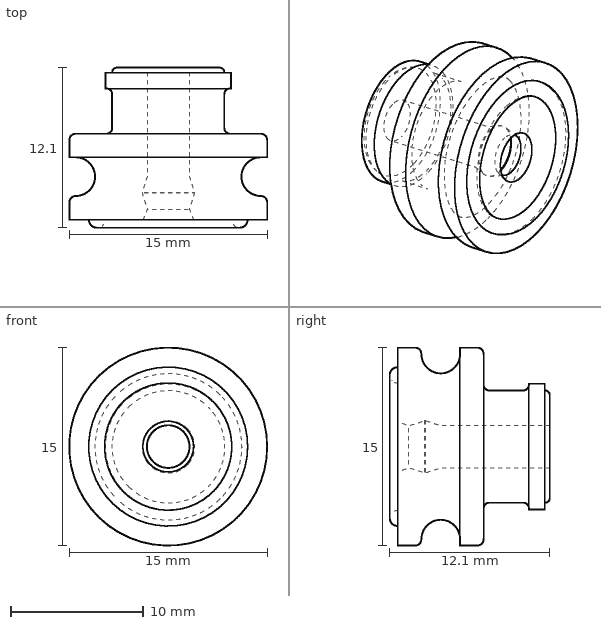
import cadquery as cq

bead_radius = 0.6
front_flange_back = 2.4
groove_radius = 1.45
rear_flange_back = 7.1
collar_front = 10.5
collar_back = 11.7
total_length = 12.1

flange_radius = 7.48
collar_radius = 4.75
neck_radius = 4.25
bead_centre_radius = 5.4
flange_rounding = 0.5
neck_rounding = 0.4

bore_radius = 1.6
mouth_radius = 1.91
chamber_radius = 1.97
mouth_taper_length = 0.8
chamber_taper_length = 1.17
land_length = 0.06

flange_front = bead_radius
rear_flange_front = front_flange_back + 2 * groove_radius
groove_centre_y = front_flange_back + groove_radius
groove_edge_radius = flange_radius - flange_rounding
tip_rounding = total_length - collar_back


def revolve_about_y(profile):
    """Turn a closed (radius, y) profile once around the Y axis."""
    return profile.close().revolve(360, (0, 0, 0), (0, 1, 0))


def make_body():
    """Grooved flange pair, neck, collar and rounded tip, without the bore."""
    profile = (
        cq.Workplane("XY")
        .moveTo(0, flange_front)
        .lineTo(flange_radius, flange_front)
        .lineTo(flange_radius, front_flange_back - flange_rounding)
        .radiusArc((groove_edge_radius, front_flange_back), -flange_rounding)
        .threePointArc(
            (groove_edge_radius - groove_radius, groove_centre_y),
            (groove_edge_radius, rear_flange_front),
        )
        .lineTo(flange_radius, rear_flange_front)
        .lineTo(flange_radius, rear_flange_back - flange_rounding)
        .radiusArc((flange_radius - flange_rounding, rear_flange_back), -flange_rounding)
        .lineTo(neck_radius + neck_rounding, rear_flange_back)
        .radiusArc((neck_radius, rear_flange_back + neck_rounding), neck_rounding)
        .lineTo(neck_radius, collar_front - neck_rounding)
        .radiusArc((neck_radius + neck_rounding, collar_front), neck_rounding)
        .lineTo(collar_radius, collar_front)
        .lineTo(collar_radius, collar_back)
        .lineTo(neck_radius, collar_back)
        .radiusArc((neck_radius - tip_rounding, total_length), -tip_rounding)
        .lineTo(0, total_length)
    )
    return revolve_about_y(profile)


def make_bead():
    """Ring of round section, half sunk into the front face."""
    return revolve_about_y(
        cq.Workplane("XY")
        .moveTo(bead_centre_radius - bead_radius, flange_front)
        .threePointArc(
            (bead_centre_radius, flange_front - bead_radius),
            (bead_centre_radius + bead_radius, flange_front),
        )
    )


def make_bore():
    """Through bore: tapered mouth, short waist, wider chamber, then straight to the back."""
    waist_front = flange_front + mouth_taper_length
    waist_back = waist_front + land_length
    chamber_front = waist_back + chamber_taper_length
    chamber_back = chamber_front + land_length
    straight_front = chamber_back + chamber_taper_length
    return revolve_about_y(
        cq.Workplane("XY")
        .moveTo(0, flange_front)
        .lineTo(mouth_radius, flange_front)
        .lineTo(bore_radius, waist_front)
        .lineTo(bore_radius, waist_back)
        .lineTo(chamber_radius, chamber_front)
        .lineTo(chamber_radius, chamber_back)
        .lineTo(bore_radius, straight_front)
        .lineTo(bore_radius, total_length)
        .lineTo(0, total_length)
    )


result = make_body().union(make_bead()).cut(make_bore())